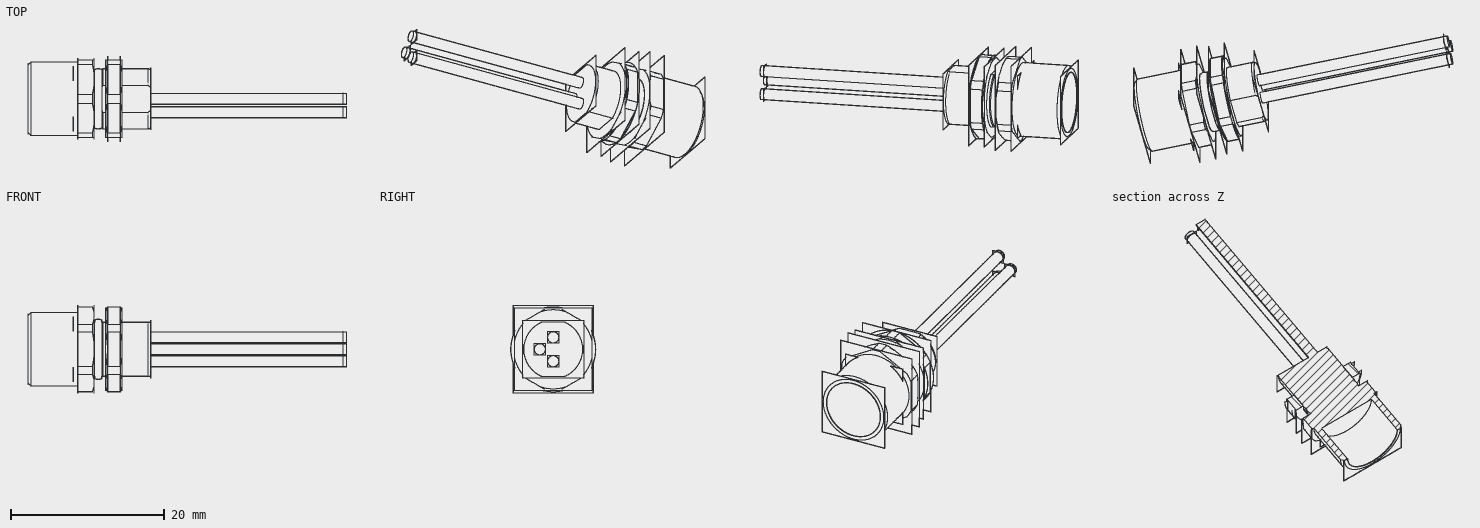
import cadquery as cq
import math

overall_length = 41.6
body_start = 0.4
socket_depth = 5.9
hex_start = 6.5
hex_thickness = 2.15
lock_nut_start = 10.15
collar_start = 8.7
collar_end = 9.65
barrel_end = 16.05
insulation_end = 41.15

body_radius = 4.83
front_radius = 4.4
socket_radius = 3.95
cover_recess = 0.05
cover_thickness = 0.05
barrel_radius = 3.95
barrel_flat_height = 3.55
barrel_chamfer_length = 0.37
barrel_lead_in = 0.12
barrel_chamfer_depth = 0.12

hex_across_flats = 10.15
hex_corner_diameter = 11.1
hex_chamfer_length = 0.25
hex_chamfer_depth = 0.45

flange_thickness = 0.05

plate_thickness = 0.05
front_plate_side = 9.2
hex_plate_width = 10.5
hex_plate_height = 11.45
nut_plate_width = 10.07
nut_plate_height = 10.82
socket_plate_side = 8.4
rear_plate_width = 8.0
rear_plate_height = 7.55
wire_plate_side = 1.55

wire_diameter = 1.45
wire_side_offset = 1.75
wire_spacing = 3.12
wire_centres = [(0, wire_spacing / 2), (-wire_side_offset, 0), (0, -wire_spacing / 2)]

hex_end = hex_start + hex_thickness
hex_corner_radius = hex_corner_diameter / 2
neck_radius = barrel_radius - barrel_lead_in
lock_nut_end = lock_nut_start + hex_thickness


def cylinder(start, end, radius, y=0, z=0):
    return cq.Workplane("YZ", origin=(start, y, z)).circle(radius).extrude(end - start)


def plate(start, width, height, y=0, z=0):
    outline = cq.Workplane("YZ", origin=(start, y, z)).rect(width, height)
    return outline.extrude(plate_thickness)


def turned(profile):
    """Revolve a closed outline of (x, radius) points about the X axis."""
    return cq.Workplane("XY").polyline(profile).close().revolve(360, (0, 0), (1, 0))


def hexagon(start, chamfer_front):
    """Hexagon with rounded corners, chamfered at the back and optionally at the front."""
    end = start + hex_thickness
    sharp_corner_diameter = hex_across_flats / math.cos(math.pi / 6)
    prism = (
        cq.Workplane("YZ", origin=(start, 0, 0))
        .transformed(rotate=(0, 0, 90))
        .polygon(6, sharp_corner_diameter)
        .extrude(hex_thickness)
    )
    small_radius = hex_corner_radius - hex_chamfer_depth
    profile = [(start, 0)]
    if chamfer_front:
        profile += [(start, small_radius), (start + hex_chamfer_length, hex_corner_radius)]
    else:
        profile += [(start, hex_corner_radius)]
    profile += [(end - hex_chamfer_length, hex_corner_radius), (end, small_radius), (end, 0)]
    return prism.intersect(turned(profile))


def barrel():
    """Barrel behind the hexagon, with flats on its +Z and -Z sides."""
    rear_radius = barrel_radius - barrel_chamfer_depth
    round_barrel = turned([
        (hex_end, 0),
        (hex_end, neck_radius),
        (collar_end, neck_radius),
        (collar_end + barrel_lead_in, barrel_radius),
        (barrel_end - barrel_chamfer_length, barrel_radius),
        (barrel_end, rear_radius),
        (barrel_end, 0),
    ])
    flats = cq.Workplane("YZ", origin=(hex_end, 0, 0)).rect(2 * barrel_radius, 2 * barrel_flat_height)
    return round_barrel.intersect(flats.extrude(barrel_end - hex_end))


def collar():
    """Ring with a crowned rim between the hexagon and the barrel."""
    collar_middle = (collar_start + collar_end) / 2
    profile = (
        cq.Workplane("XY")
        .moveTo(collar_start, 0)
        .lineTo(collar_start, neck_radius)
        .threePointArc((collar_middle, barrel_radius), (collar_end, neck_radius))
        .lineTo(collar_end, 0)
        .close()
    )
    return profile.revolve(360, (0, 0), (1, 0))


def wire(y, z):
    lead = cylinder(barrel_end, overall_length, wire_diameter / 2, y, z)
    return lead.union(plate(insulation_end - plate_thickness, wire_plate_side, wire_plate_side, y, z))


def make_housing():
    front = turned([
        (0, 0),
        (0, front_radius),
        (body_start, body_radius),
        (hex_start, body_radius),
        (hex_start, 0),
    ])
    housing = front.union(hexagon(hex_start, False)).union(barrel()).union(collar())
    housing = housing.union(plate(0, front_plate_side, front_plate_side))
    for start in (hex_start, hex_end - plate_thickness):
        housing = housing.union(plate(start, hex_plate_width, hex_plate_height))
    housing = housing.union(plate(barrel_end - plate_thickness, rear_plate_width, rear_plate_height))
    housing = housing.union(plate(socket_depth, socket_plate_side, socket_plate_side))
    housing = housing.cut(cylinder(0, socket_depth, socket_radius))
    housing = housing.union(cylinder(cover_recess, cover_recess + cover_thickness, socket_radius))
    for y, z in wire_centres:
        housing = housing.union(wire(y, z))
    return housing


def make_lock_nut():
    nut = hexagon(lock_nut_start, True)
    for start in (lock_nut_start, lock_nut_end - plate_thickness):
        nut = nut.union(plate(start, nut_plate_width, nut_plate_height))
    front_flange = lock_nut_start + hex_chamfer_length
    back_flange = lock_nut_end - hex_chamfer_length - flange_thickness
    for start in (front_flange, back_flange):
        nut = nut.union(cylinder(start, start + flange_thickness, hex_corner_radius))
    return nut.cut(barrel())


housing = make_housing()
lock_nut = make_lock_nut()
result = cq.Compound.makeCompound([housing.val(), lock_nut.val()])